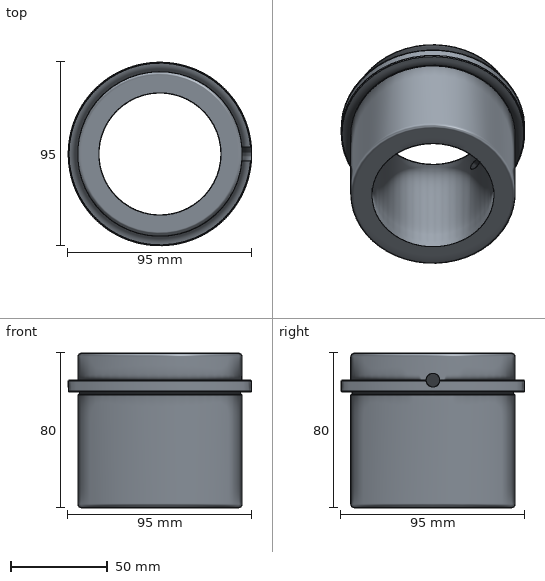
import cadquery as cq

height = 80.0
flange_radius = 47.5
body_radius = 42.6
bore_radius = 31.5

flange_top = 66.0
flange_thickness = 6.2
flange_bottom = flange_top - flange_thickness
flange_chamfer = 0.5

groove_depth = 0.8
groove_land = 0.9
groove_radius = body_radius - groove_depth
groove_slope_top = flange_bottom - groove_land
groove_slope_bottom = groove_slope_top - groove_depth

rim_fillet = 2.0

hole_diameter = 7.0


def bushing_blank():
    """Revolve the flanged wall section around Z."""
    section = (
        cq.Workplane("XZ")
        .moveTo(bore_radius, 0)
        .lineTo(body_radius, 0)
        .lineTo(body_radius, groove_slope_bottom)
        .lineTo(groove_radius, groove_slope_top)
        .lineTo(groove_radius, flange_bottom)
        .lineTo(flange_radius - flange_chamfer, flange_bottom)
        .lineTo(flange_radius, flange_bottom + flange_chamfer)
        .lineTo(flange_radius, flange_top - flange_chamfer)
        .lineTo(flange_radius - flange_chamfer, flange_top)
        .lineTo(body_radius, flange_top)
        .lineTo(body_radius, height)
        .lineTo(bore_radius, height)
        .close()
    )
    return section.revolve(360, (0, 0, 0), (0, 1, 0))


def round_rims(body):
    """Round the outer edge of both end faces."""
    outer_rim = cq.selectors.RadiusNthSelector(-1)
    body = body.faces(">Z").edges(outer_rim).fillet(rim_fillet)
    return body.faces("<Z").edges(outer_rim).fillet(rim_fillet)


def radial_hole():
    """Cylinder from the axis out through the wall and flange along +X."""
    return (
        cq.Workplane("YZ")
        .center(0, flange_top)
        .circle(hole_diameter / 2)
        .extrude(flange_radius)
    )


result = round_rims(bushing_blank()).cut(radial_hole())